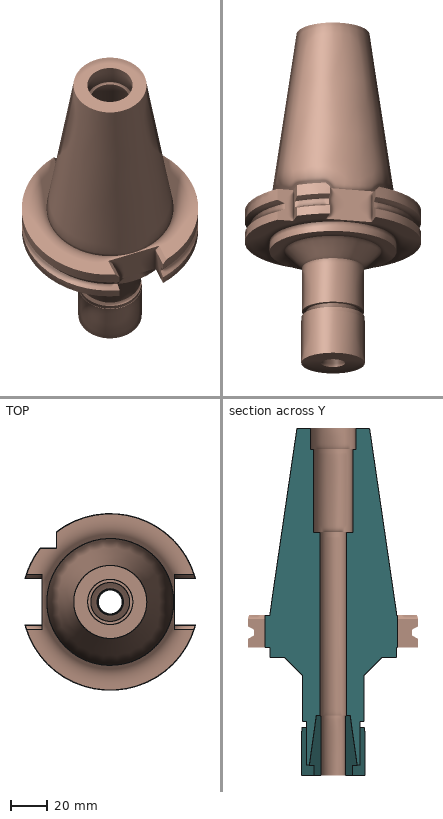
import cadquery as cq
import math


total_height = 191.8
gauge_z = 90.0
flange_top_z = 88.5
flange_bottom_z = 70.5
collar_bottom_z = 65.0
groove_mid_z = 78.8
neck_bottom_z = 30.0
nut_height = 26.8
nut_band_height = 2.3
nut_lip_height = 5.8

gauge_diameter = 70.0
taper_ratio = 7 / 24
neck_diameter = 34.3
spigot_diameter = 29.7
cone_top_diameter = 53.7

flange_diameter = 97.5
groove_root_diameter = 90.9
groove_root_width = 3.3
groove_mouth_width = 6.9
slot_width = 25.7
slot_chamfer = 2.3
left_slot_floor = 37.8
right_slot_floor = 35.5
notch_offset = 29.7

entry_diameter = 25.0
entry_depth = 11.7
thread_diameter = 21.5
thread_depth = 57.5
through_diameter = 14.5

nut_diameter = 35.0
nut_band_diameter = 34.7
collet_nose_diameter = 21.0
collet_large_diameter = 26.0
collet_small_diameter = 18.5
collet_half_angle = 8.0
collet_bore = 13.2

collet_taper_length = (
    (collet_large_diameter - collet_small_diameter) / 2 / math.tan(math.radians(collet_half_angle))
)
collet_top_z = nut_lip_height + collet_taper_length


def cylinder(diameter, bottom_z, top_z):
    """Solid cylinder on the Z axis."""
    return cq.Workplane("XY").workplane(offset=bottom_z).circle(diameter / 2).extrude(top_z - bottom_z)


def revolved(profile):
    """Solid of revolution about Z from (diameter, z) corners, closed along the axis."""
    corners = [(diameter / 2, z) for diameter, z in profile]
    outline = [(0, profile[0][1])] + corners + [(0, profile[-1][1])]
    return cq.Workplane("XZ").polyline(outline).close().revolve(360, (0, 0), (0, 1))


def holder_blank():
    """Outer shape of the holder: spigot, neck, cone, collar, grooved flange and taper."""
    cone_height = (cone_top_diameter - neck_diameter) / 2
    taper_top_diameter = gauge_diameter - taper_ratio * (total_height - gauge_z)
    return revolved([
        (spigot_diameter, nut_lip_height),
        (spigot_diameter, neck_bottom_z),
        (neck_diameter, neck_bottom_z),
        (neck_diameter, collar_bottom_z - cone_height),
        (cone_top_diameter, collar_bottom_z),
        (gauge_diameter, collar_bottom_z),
        (gauge_diameter, flange_bottom_z),
        (flange_diameter, flange_bottom_z),
        (flange_diameter, groove_mid_z - groove_mouth_width / 2),
        (groove_root_diameter, groove_mid_z - groove_root_width / 2),
        (groove_root_diameter, groove_mid_z + groove_root_width / 2),
        (flange_diameter, groove_mid_z + groove_mouth_width / 2),
        (flange_diameter, flange_top_z),
        (gauge_diameter, flange_top_z),
        (gauge_diameter, gauge_z),
        (taper_top_diameter, total_height),
    ])


def drive_slot(floor_distance, side):
    """Cutter for a drive slot with chamfered upper edges; side is +1 for +X, -1 for -X."""
    half_width = slot_width / 2
    mouth_half_width = half_width + slot_chamfer
    return (
        cq.Workplane("YZ")
        .workplane(offset=side * floor_distance)
        .moveTo(-half_width, flange_bottom_z)
        .lineTo(half_width, flange_bottom_z)
        .lineTo(half_width, flange_top_z - slot_chamfer)
        .lineTo(mouth_half_width, flange_top_z)
        .lineTo(-mouth_half_width, flange_top_z)
        .lineTo(-half_width, flange_top_z - slot_chamfer)
        .close()
        .extrude(side * flange_diameter / 2)
    )


def corner_notch():
    """Cutter for the square notch through the flange rim at -X, +Y."""
    side = flange_diameter / 2
    height = flange_top_z - flange_bottom_z
    block = cq.Workplane("XY").box(side, side, height, centered=False)
    return block.translate((-notch_offset - side, notch_offset, flange_bottom_z))


def collet_taper():
    """Cone shared by the collet and its seat in the holder."""
    return revolved([
        (collet_large_diameter, nut_lip_height),
        (collet_small_diameter, collet_top_z),
    ])


def make_holder():
    holder = holder_blank()
    holder = holder.cut(drive_slot(left_slot_floor, -1))
    holder = holder.cut(drive_slot(right_slot_floor, 1))
    holder = holder.cut(corner_notch())
    holder = holder.cut(cylinder(entry_diameter, total_height - entry_depth, total_height))
    holder = holder.cut(cylinder(thread_diameter, total_height - thread_depth, total_height))
    holder = holder.cut(cylinder(through_diameter, nut_lip_height, total_height))
    return holder.cut(collet_taper())


def make_nut():
    band_bottom_z = nut_height - nut_band_height
    nut = revolved([
        (nut_diameter, 0),
        (nut_diameter, band_bottom_z),
        (nut_band_diameter, band_bottom_z),
        (nut_band_diameter, nut_height),
    ])
    nut = nut.cut(cylinder(spigot_diameter, nut_lip_height, nut_height))
    return nut.cut(cylinder(collet_nose_diameter, 0, nut_lip_height))


def make_collet():
    nose = cylinder(collet_nose_diameter, 0, nut_lip_height)
    collet = nose.union(collet_taper())
    return collet.cut(cylinder(collet_bore, 0, collet_top_z))


holder = make_holder()
nut = make_nut()
collet = make_collet()

result = cq.Compound.makeCompound([holder.val(), nut.val(), collet.val()])